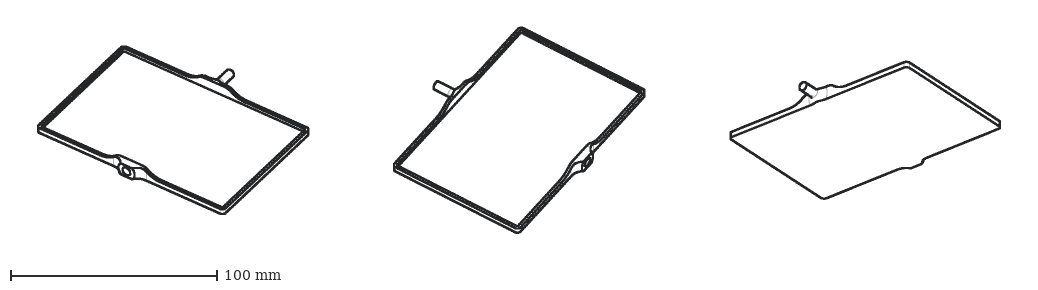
import cadquery as cq
import math

length = 110.0
width = 74.0
overall_depth = 89.0
rim_height = 3.1
floor_thickness = 1.1
wall = 1.5
corner_radius = 2.0

hump_height = 7.0
hump_top_half = 6.0
hump_end_half = 17.6
hump_join_z = 5.8

axis_z = hump_height / 2
pin_radius = 4.5 / 2
pin_length = 11.9
pin_fillet = 3.4
boss_length = overall_depth - width - pin_length
boss_tip_radius = 4.8
boss_base_radius = 9.8
socket_depth = boss_length + wall / 2

half_width = width / 2


def tray_blank():
    """Rounded plate at rim height, before hollowing."""
    plate = cq.Workplane("XY").box(length, width, rim_height, centered=(True, True, False))
    return plate.edges("|Z").fillet(corner_radius)


def tray_pocket():
    """Tray interior, tall enough to clear the humps."""
    pocket = cq.Workplane("XY").workplane(offset=floor_thickness).box(
        length - 2 * wall, width - 2 * wall, hump_height, centered=(True, True, False)
    )
    return pocket.edges("|Z").fillet(corner_radius - wall)


def hump_bar(y_start, y_end):
    """Hump outline in XZ, extruded along Y: a flat top with an S-curve down each side."""
    rise_share = (hump_join_z - rim_height) / (hump_height - rim_height)
    join_x = hump_end_half - (hump_end_half - hump_top_half) * rise_share
    low_middle = arc_middle(hump_end_half, rim_height, join_x, hump_join_z)
    high_middle = arc_middle(hump_top_half, hump_height, join_x, hump_join_z)
    outline = (
        cq.Workplane("XZ", origin=(0, y_start, 0))
        .moveTo(-hump_end_half, 0)
        .lineTo(-hump_end_half, rim_height)
        .threePointArc((-low_middle[0], low_middle[1]), (-join_x, hump_join_z))
        .threePointArc((-high_middle[0], high_middle[1]), (-hump_top_half, hump_height))
        .lineTo(hump_top_half, hump_height)
        .threePointArc(high_middle, (join_x, hump_join_z))
        .threePointArc(low_middle, (hump_end_half, rim_height))
        .lineTo(hump_end_half, 0)
        .close()
    )
    return outline.extrude(y_start - y_end)


def arc_middle(level_x, level_y, end_x, end_y):
    """Middle point of the arc that starts level (along the first axis) and runs to the end point."""
    run = end_x - level_x
    rise = end_y - level_y
    half_sweep = math.atan2(abs(rise), abs(run))
    radius = math.hypot(run, rise) / (2 * math.sin(half_sweep))
    mid_run = math.copysign(radius * math.sin(half_sweep), run)
    mid_rise = math.copysign(radius * (1 - math.cos(half_sweep)), rise)
    return (level_x + mid_run, level_y + mid_rise)


def flared_pin():
    """Pin revolved about its axis, with a concave fillet onto the back wall."""
    base_y = half_width
    flare_mid = pin_fillet * (1 - math.sqrt(0.5))
    profile = (
        cq.Workplane("XY", origin=(0, 0, axis_z))
        .moveTo(0, base_y - wall)
        .lineTo(pin_radius + pin_fillet, base_y - wall)
        .lineTo(pin_radius + pin_fillet, base_y)
        .threePointArc((pin_radius + flare_mid, base_y + flare_mid), (pin_radius, base_y + pin_fillet))
        .lineTo(pin_radius, base_y + pin_length)
        .lineTo(0, base_y + pin_length)
        .close()
    )
    return profile.revolve(360, (0, 0, 0), (0, 1, 0))


def flared_boss():
    """Boss revolved about its axis, with a concave flank that runs out flush with the front wall."""
    base_y = -half_width
    tip_y = base_y - boss_length
    flank_mid = arc_middle(boss_base_radius, base_y, boss_tip_radius, tip_y)
    profile = (
        cq.Workplane("XY", origin=(0, 0, axis_z))
        .moveTo(0, base_y + wall)
        .lineTo(boss_base_radius, base_y + wall)
        .lineTo(boss_base_radius, base_y)
        .threePointArc(flank_mid, (boss_tip_radius, tip_y))
        .lineTo(0, tip_y)
        .close()
    )
    return profile.revolve(360, (0, 0, 0), (0, 1, 0))


def socket():
    """Blind round hole in the boss."""
    face = cq.Workplane("XZ", origin=(0, -half_width - boss_length, axis_z))
    return face.circle(pin_radius).extrude(-socket_depth)


back_bar = hump_bar(half_width - wall, half_width + pin_length)
front_bar = hump_bar(-half_width - boss_length, -half_width + wall)
back_hump = hump_bar(half_width - wall, half_width)
front_hump = hump_bar(-half_width, -half_width + wall)

result = (
    tray_blank()
    .union(back_hump)
    .union(front_hump)
    .union(flared_pin().intersect(back_bar))
    .union(flared_boss().intersect(front_bar))
    .cut(tray_pocket())
    .cut(socket())
)